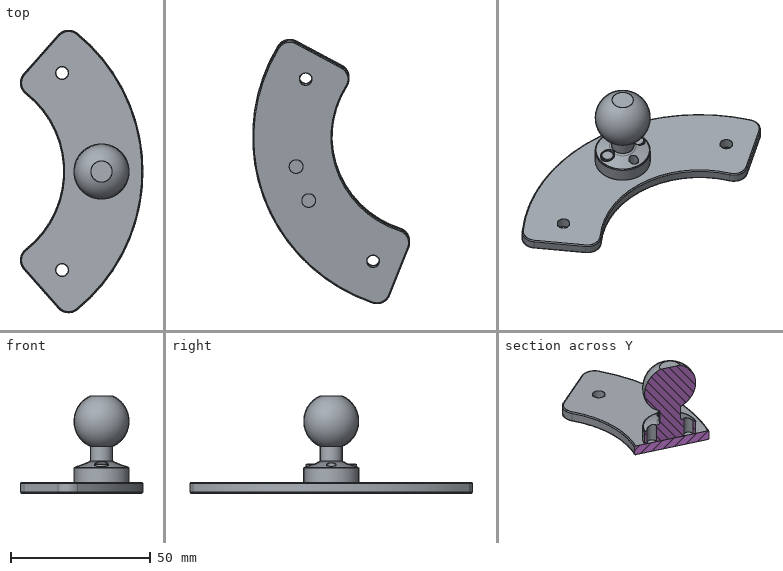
import cadquery as cq
import math

plate_thickness = 4.0
outer_radius = 63.9
inner_radius = 35.4
end_angle = 48.5
end_offset = 7.4
corner_radius = 5.0
plate_edge_chamfer = 0.4
mount_hole_diameter = 4.5
mount_hole_angle = 45.4
middle_radius = (outer_radius + inner_radius) / 2

mount_x = 49.0
flange_diameter = 19.8
flange_wall_height = 5.1
flange_edge_chamfer = 0.3
neck_diameter = 8.0
neck_fillet_diameter = 9.4
cone_top_z = plate_thickness + 7.2
neck_fillet_height = 0.5
ball_diameter = 19.8
ball_center_z = 25.9
overall_height = 35.0

rivet_diameter = 5.0
rivet_top_diameter = 4.2
rivet_chamfer_height = 0.2
rivet_circle_radius = 6.6
rivet_top_z = plate_thickness + 6.5
flange_hole_diameter = 3.3
flange_hole_circle_radius = 7.0
rivet_places = [(mount_x, side * rivet_circle_radius) for side in (-1, 1)]
flange_hole_places = [(mount_x + side * flange_hole_circle_radius, 0) for side in (-1, 1)]


def end_corner(radius, side):
    """Sharp corner where an end edge meets the ring arc of the given radius."""
    angle = math.radians(end_angle) + math.asin(end_offset / radius)
    return radius * math.cos(angle), side * radius * math.sin(angle)


def vertical_cylinders(places, diameter, height):
    """Cylinders standing on Z = 0."""
    return cq.Workplane("XY").pushPoints(places).circle(diameter / 2).extrude(height)


def make_plate():
    hole_x = middle_radius * math.cos(math.radians(mount_hole_angle))
    hole_y = middle_radius * math.sin(math.radians(mount_hole_angle))
    plate = (
        cq.Workplane("XY")
        .moveTo(*end_corner(outer_radius, -1))
        .threePointArc((outer_radius, 0), end_corner(outer_radius, 1))
        .lineTo(*end_corner(inner_radius, 1))
        .threePointArc((inner_radius, 0), end_corner(inner_radius, -1))
        .close()
        .extrude(plate_thickness)
        .edges("|Z").fillet(corner_radius)
        .faces("<Z or >Z").edges().chamfer(plate_edge_chamfer)
    )
    mount_holes = vertical_cylinders(
        [(hole_x, -hole_y), (hole_x, hole_y)], mount_hole_diameter, plate_thickness
    )
    rivet_holes = vertical_cylinders(rivet_places, rivet_diameter, plate_thickness)
    return plate.cut(mount_holes).cut(rivet_holes)


def make_ball_mount():
    flange_radius = flange_diameter / 2
    neck_radius = neck_diameter / 2
    ball_radius = ball_diameter / 2
    wall_top_z = plate_thickness + flange_wall_height
    top_flat_radius = math.sqrt(ball_radius**2 - (overall_height - ball_center_z) ** 2)
    neck_top_z = ball_center_z - math.sqrt(ball_radius**2 - neck_radius**2)
    profile = (
        cq.Workplane("XZ")
        .moveTo(0, plate_thickness)
        .lineTo(flange_radius, plate_thickness)
        .lineTo(flange_radius, wall_top_z)
        .lineTo(flange_radius - flange_edge_chamfer, wall_top_z + flange_edge_chamfer)
        .lineTo(neck_fillet_diameter / 2, cone_top_z)
        .tangentArcPoint((neck_radius, cone_top_z + neck_fillet_height), relative=False)
        .lineTo(neck_radius, neck_top_z)
        .threePointArc((ball_radius, ball_center_z), (top_flat_radius, overall_height))
        .lineTo(0, overall_height)
        .close()
    )
    mount = profile.revolve(360, (0, 0, 0), (0, 1, 0)).translate((mount_x, 0, 0))
    open_holes = vertical_cylinders(flange_hole_places, flange_hole_diameter, cone_top_z)
    rivet_holes = vertical_cylinders(rivet_places, rivet_diameter, cone_top_z)
    return mount.cut(open_holes).cut(rivet_holes)


def make_rivet(place):
    rivet_edge_inset = (rivet_diameter - rivet_top_diameter) / 2
    rivet = vertical_cylinders([place], rivet_diameter, rivet_top_z)
    return rivet.faces(">Z").chamfer(rivet_chamfer_height, rivet_edge_inset)


plate = make_plate()
ball_mount = make_ball_mount()
rivets = [make_rivet(place) for place in rivet_places]

result = cq.Compound.makeCompound(
    [plate.val(), ball_mount.val(), *[rivet.val() for rivet in rivets]]
)